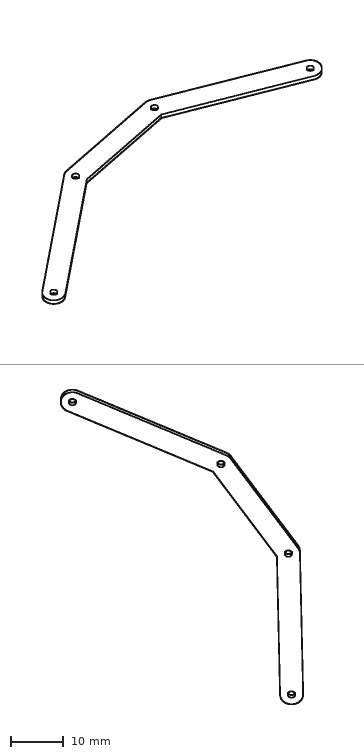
import cadquery as cq
import math

length = 82.0
strip_width = 4.4
thickness = 1.0
hole_diameter = 1.4
middle_pitch = 23.8
upper_reach = 16.3
lower_reach = 16.5

end_y = (length - strip_width) / 2
bend_y = middle_pitch / 2

hole_centres = [
    (lower_reach, -end_y),
    (0, -bend_y),
    (0, bend_y),
    (upper_reach, end_y),
]


def link(start, end):
    """Flat round-ended bar between two hole centres."""
    dx = end[0] - start[0]
    dy = end[1] - start[1]
    overall_length = math.hypot(dx, dy) + strip_width
    middle = ((start[0] + end[0]) / 2, (start[1] + end[1]) / 2)
    angle = math.degrees(math.atan2(dy, dx))
    return (
        cq.Workplane("XY")
        .center(*middle)
        .slot2D(overall_length, strip_width, angle)
        .extrude(thickness)
    )


strip = link(hole_centres[0], hole_centres[1])
for start, end in zip(hole_centres[1:], hole_centres[2:]):
    strip = strip.union(link(start, end))
strip = strip.clean()

holes = (
    cq.Workplane("XY")
    .pushPoints(hole_centres)
    .circle(hole_diameter / 2)
    .extrude(thickness)
)
result = strip.cut(holes)